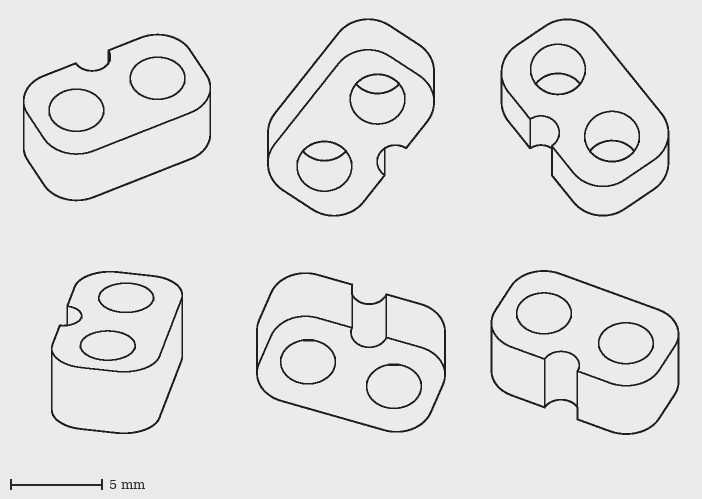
import cadquery as cq

length = 10.0
width = 6.0
height = 4.0
corner_radius = 2.0

hole_diameter = 3.0
hole_spacing = length / 2

notch_diameter = 2.0

block = (
    cq.Workplane("XY")
    .rect(width, length)
    .extrude(height)
    .edges("|Z")
    .fillet(corner_radius)
)

holes = (
    cq.Workplane("XY")
    .rarray(0.1, hole_spacing, 1, 2)
    .circle(hole_diameter / 2)
    .extrude(height)
)

notch = (
    cq.Workplane("XY")
    .center(-width / 2, 0)
    .circle(notch_diameter / 2)
    .extrude(height)
)

result = block.cut(holes).cut(notch)